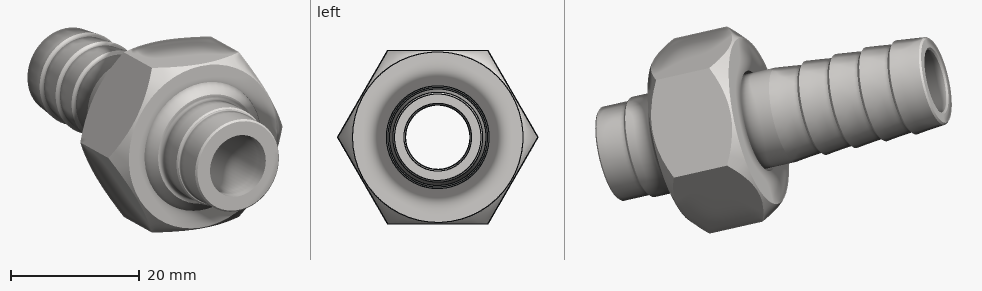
import cadquery as cq
import math

total_length = 54.0
bore_radius = 10.0 / 2
tube_radius = 15.0 / 2
edge_chamfer = 0.25

barb_count = 5
barb_pitch = 5.0
barb_valley_radius = 14.0 / 2
barb_back_length = 0.5
flange_radius = 18.65 / 2
neck_radius = 15.5 / 2
neck_length = 1.5
flange_length = 2.7

nut_start = 29.55
nut_length = 13.5
nut_across_flats = 27.0
nut_face_radius = 26.5 / 2
nut_hole_radius = 16.0 / 2
nut_web = 3.0
thread_radius = 20.9 / 2

shoulder_x = 44.5
shoulder_radius = 17.7 / 2
collar_radius = 16.0 / 2
collar_end = 49.0
collar_end_radius = 15.5 / 2
collar_root_fillet = 0.5

nut_end = nut_start + nut_length
flange_start = nut_start + nut_web
joint_x = flange_start + flange_length
barbs_end = barb_count * barb_pitch


def revolve_about_x(profile):
    """Revolve a closed (x, radius) profile about the X axis."""
    return profile.close().revolve(360, (0, 0, 0), (1, 0, 0))


def make_hose_tail():
    """Barbed tube with a bored end, and a neck and flange held inside the nut."""
    profile = (
        cq.Workplane("XY")
        .moveTo(0, bore_radius + edge_chamfer)
        .lineTo(0, barb_valley_radius - edge_chamfer)
        .lineTo(edge_chamfer, barb_valley_radius)
    )
    for barb in range(1, barb_count):
        crest_x = barb * barb_pitch
        profile = profile.lineTo(crest_x, tube_radius)
        profile = profile.lineTo(crest_x + barb_back_length, barb_valley_radius)
    profile = (
        profile.lineTo(barbs_end, tube_radius)
        .lineTo(flange_start - neck_length, tube_radius)
        .lineTo(flange_start - neck_length, neck_radius)
        .lineTo(flange_start, neck_radius)
        .lineTo(flange_start, flange_radius)
        .lineTo(joint_x, flange_radius)
        .lineTo(joint_x, bore_radius)
        .lineTo(edge_chamfer, bore_radius)
    )
    return revolve_about_x(profile)


def make_union_nut():
    """Hexagonal nut with conical corners, a web hole and a wide cavity."""
    corner_radius = nut_across_flats / math.sqrt(3)
    corner_chamfer = corner_radius - nut_face_radius
    hexagon = (
        cq.Workplane("YZ", origin=(nut_start, 0, 0))
        .polygon(6, 2 * corner_radius)
        .extrude(nut_length)
    )
    turned_blank = (
        cq.Workplane("YZ", origin=(nut_start, 0, 0))
        .circle(corner_radius)
        .extrude(nut_length)
        .edges()
        .chamfer(corner_chamfer)
    )
    web_hole = (
        cq.Workplane("YZ", origin=(nut_start, 0, 0))
        .circle(nut_hole_radius)
        .extrude(nut_web)
    )
    cavity = (
        cq.Workplane("YZ", origin=(flange_start, 0, 0))
        .circle(thread_radius)
        .extrude(nut_end - flange_start)
    )
    return hexagon.intersect(turned_blank).cut(web_hole).cut(cavity)


def make_adapter():
    """Threaded plug with a 45 degree cone, a collar and a plain spigot."""
    cone_start = shoulder_x - (thread_radius - shoulder_radius)
    step_fillet = collar_end_radius - tube_radius
    collar_chamfer = collar_radius - collar_end_radius
    profile = (
        cq.Workplane("XY")
        .moveTo(joint_x, bore_radius)
        .lineTo(joint_x, thread_radius)
        .lineTo(cone_start, thread_radius)
        .lineTo(shoulder_x, shoulder_radius)
        .lineTo(shoulder_x, collar_radius + collar_root_fillet)
        .radiusArc((shoulder_x + collar_root_fillet, collar_radius), -collar_root_fillet)
        .lineTo(collar_end - collar_chamfer, collar_radius)
        .lineTo(collar_end, collar_end_radius)
        .radiusArc((collar_end + step_fillet, tube_radius), -step_fillet)
        .lineTo(total_length - edge_chamfer, tube_radius)
        .lineTo(total_length, tube_radius - edge_chamfer)
        .lineTo(total_length, bore_radius)
    )
    return revolve_about_x(profile)


hose_tail = make_hose_tail()
union_nut = make_union_nut()
adapter = make_adapter()

result = cq.Compound.makeCompound([hose_tail.val(), union_nut.val(), adapter.val()])